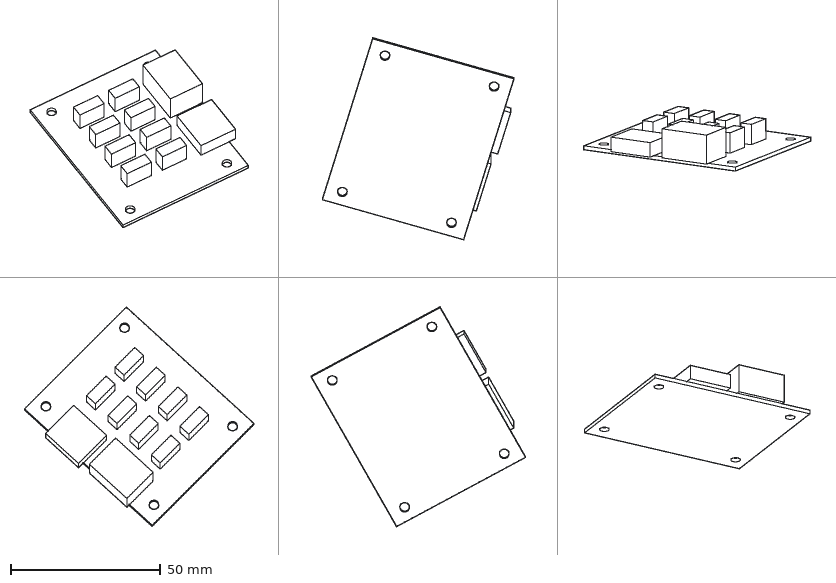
import cadquery as cq

board_length = 59.05
board_width = 49.35
board_thickness = 1.4

hole_diameter = 3.18
hole_spacing_x = 50.0
hole_spacing_y = 38.1

tall_connector_size = (17.35, 12.7, 10.0)
tall_connector_center_x = -10.4
tall_connector_overhang = 1.3

low_connector_size = (15.24, 13.6, 5.0)
low_connector_center_x = 9.8
low_connector_overhang = 2.46

component_size = (4.1, 9.5, 7.0)
component_columns = 4
component_rows = 2
component_pitch_x = 10.0
component_pitch_y = 13.85
component_grid_center = (-0.85, -3.1)


def block_on_board(size, center_x, center_y):
    """Rectangular block standing on the top face of the board."""
    length, width, height = size
    return (
        cq.Workplane("XY")
        .workplane(offset=board_thickness)
        .center(center_x, center_y)
        .rect(length, width)
        .extrude(height)
    )


def edge_connector(size, center_x, overhang):
    """Connector block that projects past the back edge of the board."""
    width = size[1]
    back_face_y = board_width / 2 + overhang
    return block_on_board(size, center_x, back_face_y - width / 2)


def make_board():
    """Flat board with a through hole near each corner."""
    return (
        cq.Workplane("XY")
        .rect(board_length, board_width)
        .extrude(board_thickness)
        .faces(">Z")
        .workplane()
        .rect(hole_spacing_x, hole_spacing_y, forConstruction=True)
        .vertices()
        .hole(hole_diameter)
    )


def add_components(body):
    """Fuse the grid of upright components onto the board."""
    grid_x, grid_y = component_grid_center
    first_x = grid_x - (component_columns - 1) * component_pitch_x / 2
    first_y = grid_y - (component_rows - 1) * component_pitch_y / 2
    for column in range(component_columns):
        for row in range(component_rows):
            center_x = first_x + column * component_pitch_x
            center_y = first_y + row * component_pitch_y
            body = body.union(block_on_board(component_size, center_x, center_y))
    return body


result = make_board()
result = result.union(edge_connector(tall_connector_size, tall_connector_center_x, tall_connector_overhang))
result = result.union(edge_connector(low_connector_size, low_connector_center_x, low_connector_overhang))
result = add_components(result)